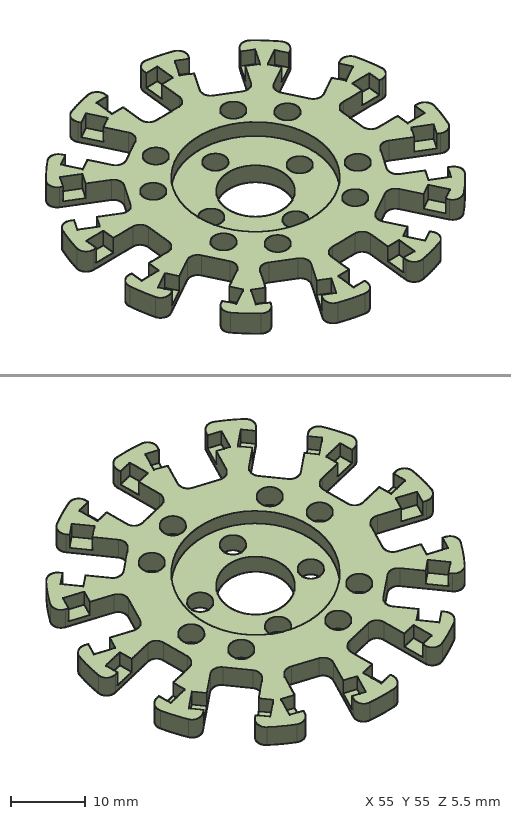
import cadquery as cq
import math

outer_width = 55.05
total_height = 5.5
plate_thickness = 3.6
boss_height = total_height - plate_thickness

slot_count = 12
slot_step = 360.0 / slot_count
slot_width = 7.0
slot_floor_radius = 17.5
corner_radius = 1.5

rim_radius = corner_radius + math.hypot(
    outer_width / 2 - corner_radius,
    slot_width / 2 + corner_radius,
)

notch_span = 11.0
notch_length = 3.1
notch_depth = 2.6
notch_center_radius = 24.0

bore_diameter = 10.5
recess_diameter = 22.5
recess_depth = 2.5
boss_top_radius = 16.8
boss_bottom_radius = 11.5

hole_diameter = 3.5
inner_hole_radius = 8.0
outer_hole_radius = 14.0
quadrant_angles = [0, 90, 180, 270]
outer_hole_pair = [30, 60]

clearance_radius = 4.5


def polar(radius, angle):
    """Point at a radius and an angle in degrees."""
    return (radius * math.cos(math.radians(angle)), radius * math.sin(math.radians(angle)))


def make_plate():
    """Round plate with open slots, rounded at the slot floors and the arm tips."""
    plate = (
        cq.Workplane("XY")
        .workplane(offset=boss_height)
        .circle(rim_radius)
        .extrude(plate_thickness)
    )
    slot_length = rim_radius - slot_floor_radius
    slot = (
        cq.Workplane("XY")
        .box(slot_length, slot_width, total_height, centered=(False, True, False))
        .translate((slot_floor_radius, 0, 0))
    )
    for index in range(slot_count):
        plate = plate.cut(slot.rotate((0, 0, 0), (0, 0, 1), index * slot_step))
    return plate.edges("|Z").fillet(corner_radius)


def make_boss():
    """Tapered boss under the plate, relieved around the outer hole pairs."""
    boss = (
        cq.Workplane("XY")
        .circle(boss_bottom_radius)
        .workplane(offset=boss_height)
        .circle(boss_top_radius)
        .loft(ruled=True)
    )
    clearance = make_clearance()
    for angle in quadrant_angles:
        boss = boss.cut(clearance.rotate((0, 0, 0), (0, 0, 1), angle))
    return boss


def make_clearance():
    """Curved slot with round ends that follows one pair of outer holes."""
    start, end = outer_hole_pair
    middle = (start + end) / 2
    inside = outer_hole_radius - clearance_radius
    outside = outer_hole_radius + clearance_radius
    start_x, start_y = polar(outer_hole_radius, start)
    start_out_x, start_out_y = polar(clearance_radius, start - 90)
    start_tip = (start_x + start_out_x, start_y + start_out_y)
    end_x, end_y = polar(outer_hole_radius, end)
    end_out_x, end_out_y = polar(clearance_radius, end + 90)
    end_tip = (end_x + end_out_x, end_y + end_out_y)
    return (
        cq.Workplane("XY")
        .moveTo(*polar(inside, start))
        .threePointArc(polar(inside, middle), polar(inside, end))
        .threePointArc(end_tip, polar(outside, end))
        .threePointArc(polar(outside, middle), polar(outside, start))
        .threePointArc(start_tip, polar(inside, start))
        .close()
        .extrude(boss_height)
    )


def make_notches():
    """Rectangular notches across every slot, open at the top."""
    return (
        cq.Workplane("XY")
        .workplane(offset=total_height - notch_depth)
        .polarArray(notch_center_radius, 0, 360, slot_count)
        .rect(notch_length, notch_span)
        .extrude(notch_depth)
    )


def make_center_cuts():
    """Recess, bore and the two sets of through holes."""
    recess = (
        cq.Workplane("XY")
        .workplane(offset=total_height - recess_depth)
        .circle(recess_diameter / 2)
        .extrude(recess_depth)
    )
    bore = cq.Workplane("XY").circle(bore_diameter / 2).extrude(total_height)
    hole_points = [polar(inner_hole_radius, angle) for angle in quadrant_angles]
    for quadrant in quadrant_angles:
        for angle in outer_hole_pair:
            hole_points.append(polar(outer_hole_radius, quadrant + angle))
    holes = cq.Workplane("XY").pushPoints(hole_points).circle(hole_diameter / 2).extrude(total_height)
    return recess.union(bore).union(holes)


result = make_plate().union(make_boss()).cut(make_notches()).cut(make_center_cuts())